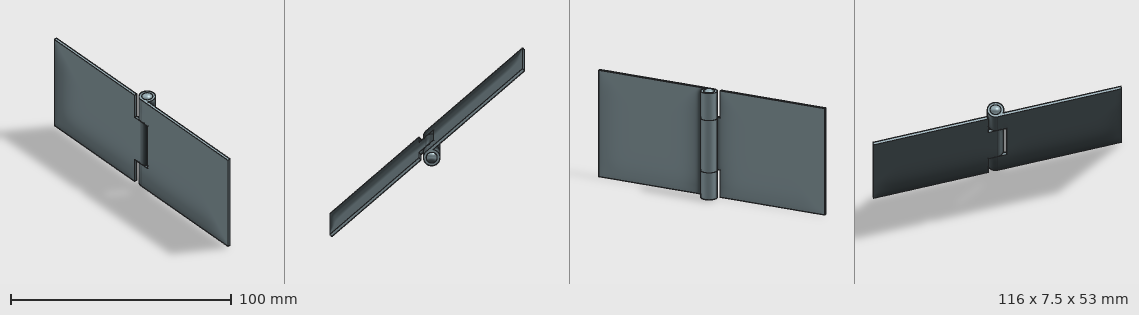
import cadquery as cq

hinge_width = 116.0
leaf_height = 50.8
leaf_thickness = 1.4
pin_length = 53.0

knuckle_diameter = 7.5
pin_diameter = 5.0
middle_knuckle_height = 24.9
knuckle_clearance = 0.6

knuckle_radius = knuckle_diameter / 2
pin_radius = pin_diameter / 2
dome_height = (pin_length - leaf_height) / 2
end_knuckle_height = (leaf_height - middle_knuckle_height) / 2
end_knuckle_offset = (middle_knuckle_height + end_knuckle_height) / 2
notch_reach = knuckle_radius + knuckle_clearance


def make_leaf(side, knuckles):
    """Leaf on one side (+1 for +X, -1 for -X), with knuckles given as (centre height, length)."""
    plate_length = hinge_width / 2 - notch_reach
    leaf = cq.Workplane("XY").box(plate_length, leaf_thickness, leaf_height).translate(
        (side * (notch_reach + plate_length / 2), leaf_thickness / 2 - knuckle_radius, 0)
    )

    for centre_height, length in knuckles:
        strip = cq.Workplane("XY").box(notch_reach, leaf_thickness, length).translate(
            (side * notch_reach / 2, leaf_thickness / 2 - knuckle_radius, centre_height)
        )
        barrel = (
            cq.Workplane("XY")
            .workplane(offset=centre_height - length / 2)
            .circle(knuckle_radius)
            .extrude(length)
        )
        leaf = leaf.union(strip).union(barrel)

    bore = cq.Workplane("XY").circle(pin_radius).extrude(leaf_height / 2, both=True)
    return leaf.cut(bore)


def make_pin():
    """Round pin, flush with the leaf ends and closed by a shallow spherical dome at each end."""
    half_leaf = leaf_height / 2
    half_pin = pin_length / 2
    dome_radius = (pin_radius**2 + dome_height**2) / (2 * dome_height)
    dome_centre = half_pin - dome_radius

    return (
        cq.Workplane("XZ")
        .moveTo(0, -half_pin)
        .threePointArc(arc_midpoint(dome_radius, dome_centre, -1), (pin_radius, -half_leaf))
        .lineTo(pin_radius, half_leaf)
        .threePointArc(arc_midpoint(dome_radius, dome_centre, 1), (0, half_pin))
        .close()
        .revolve(360, (0, 0, 0), (0, 1, 0))
    )


def arc_midpoint(dome_radius, dome_centre, end):
    """Point on a dome profile at half the pin radius; end is +1 for the top and -1 for the bottom."""
    x = pin_radius / 2
    return (x, end * (dome_centre + (dome_radius**2 - x**2) ** 0.5))


left_leaf = make_leaf(-1, [(0, middle_knuckle_height)])
right_leaf = make_leaf(
    1, [(end * end_knuckle_offset, end_knuckle_height) for end in (-1, 1)]
)
pin = make_pin()

result = cq.Compound.makeCompound([left_leaf.val(), right_leaf.val(), pin.val()])